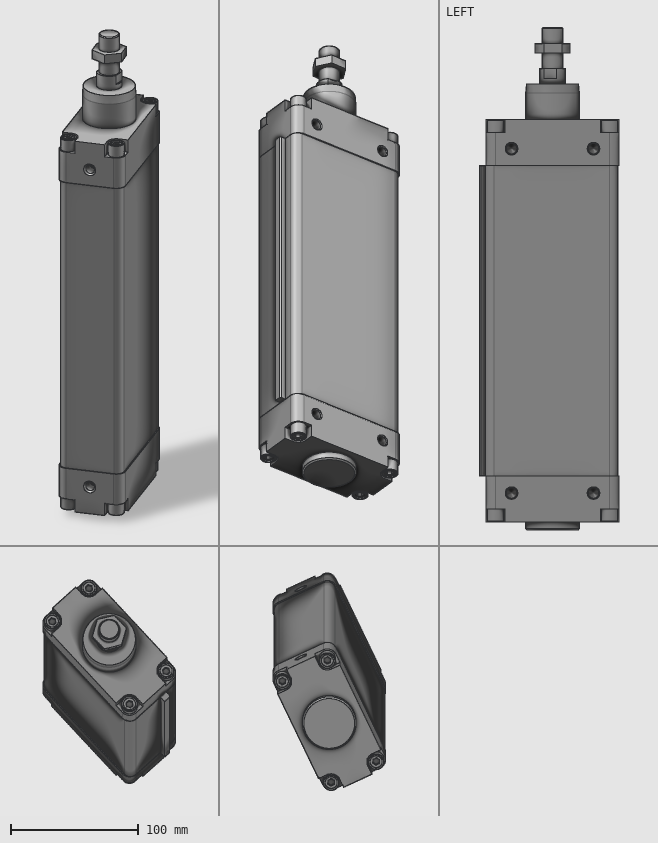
import cadquery as cq
import math

TOTAL_HEIGHT = 393.0

CAP_WIDTH = 54.0
CAP_DEPTH = 104.0
CAP_HEIGHT = 36.0
CORNER_RADIUS = 7.5
LOWER_CAP_BOTTOM = 6.3
UPPER_CAP_TOP = 321.0
TUBE_INSET = 1.0
TUBE_OVERHANG = 0.2

COLLAR_DIAMETER = 42.0
COLLAR_TOP = 349.0
COLLAR_RIM_DIAMETER = 41.0
COLLAR_RIM_HEIGHT = 7.0
LOWER_COLLAR_CHAMFER = 1.0

OVERALL_DEPTH = 109.3
RAIL_CENTER_X = -9.5
RAIL_WIDTH = 6.3
RAIL_CHAMFER = 1.0

RECESS_DIAMETER = 14.5
RECESS_DEPTH = 10.2
HEAD_DIAMETER = 12.5
HEAD_SETBACK = 0.5
HEAD_CHAMFER = 0.5
DISH_DIAMETER = 9.5
DISH_DEPTH = 1.0
SOCKET_ACROSS_FLATS = 5.0
SOCKET_DEPTH = 5.0

PORT_DIAMETER = 7.0
PORT_MOUTH_DIAMETER = 10.0
PORT_DEPTH = 11.8

HOLE_DIAMETER = 8.3
HOLE_MOUTH_DIAMETER = 10.0
HOLE_DEPTH = 11.8
DRILL_TIP_HEIGHT = 2.5
HOLE_SETBACK = 22.8
SIDE_HOLE_SPACING = 64.0

ROD_DIAMETER = 20.0
ROD_SHOULDER_Z = 360.8
STUD_DIAMETER = 16.0
STUD_CHAMFER = 0.8
WRENCH_ACROSS_FLATS = 17.3
WRENCH_BOTTOM_Z = 353.5
WRENCH_ANGLE = -12.0

NUT_ACROSS_FLATS = 24.0
NUT_HEIGHT = 7.5
NUT_BOTTOM_Z = 373.0
NUT_ANGLE = 31.5

CAP_BOTTOMS = (LOWER_CAP_BOTTOM, UPPER_CAP_TOP - CAP_HEIGHT)
TUBE_BOTTOM = LOWER_CAP_BOTTOM + CAP_HEIGHT
TUBE_HEIGHT = UPPER_CAP_TOP - LOWER_CAP_BOTTOM - 2 * CAP_HEIGHT
SCREW_X = CAP_WIDTH / 2 - CORNER_RADIUS
SCREW_Y = CAP_DEPTH / 2 - CORNER_RADIUS
SCREW_PLACES = [(sx * SCREW_X, sy * SCREW_Y) for sx in (-1, 1) for sy in (-1, 1)]
HOLE_LEVELS = (LOWER_CAP_BOTTOM + HOLE_SETBACK, UPPER_CAP_TOP - HOLE_SETBACK)


def rounded_block(width, depth, height, radius, bottom):
    block = cq.Workplane("XY").workplane(offset=bottom).rect(width, depth).extrude(height)
    return block.edges("|Z").fillet(radius)


def disc(diameter, bottom, top):
    return cq.Workplane("XY").workplane(offset=bottom).circle(diameter / 2).extrude(top - bottom)


def hexagon(across_flats, bottom, height):
    across_corners = across_flats / math.cos(math.pi / 6)
    return cq.Workplane("XY").workplane(offset=bottom).polygon(6, across_corners).extrude(height)


def tube():
    """Block between the caps, set back from them except on the +Y side, where it stands proud."""
    width = CAP_WIDTH - 2 * TUBE_INSET
    depth = CAP_DEPTH - TUBE_INSET + TUBE_OVERHANG
    block = rounded_block(width, depth, TUBE_HEIGHT, CORNER_RADIUS - TUBE_INSET, TUBE_BOTTOM)
    return block.translate((0, (TUBE_INSET + TUBE_OVERHANG) / 2, 0))


def rail():
    """Straight strip rooted inside the tube, with a chamfered outer -X edge."""
    outer_y = OVERALL_DEPTH - CAP_DEPTH / 2
    strip = cq.Workplane("XY").box(RAIL_WIDTH, outer_y, TUBE_HEIGHT, centered=(True, False, False))
    strip = strip.edges("|Z and >Y and <X").chamfer(RAIL_CHAMFER)
    return strip.translate((RAIL_CENTER_X, 0, TUBE_BOTTOM))


def corner_recess():
    """Pocket round the +X +Y screw, open to both outer sides, standing on Z = 0."""
    radius = RECESS_DIAMETER / 2
    reach = 2 * CORNER_RADIUS
    pocket = cq.Workplane("XY").circle(radius).extrude(RECESS_DEPTH)
    toward_x = cq.Workplane("XY").rect(reach, 2 * radius).extrude(RECESS_DEPTH).translate((reach / 2, 0, 0))
    toward_y = cq.Workplane("XY").rect(2 * radius, reach).extrude(RECESS_DEPTH).translate((0, reach / 2, 0))
    return pocket.union(toward_x).union(toward_y)


def screw_head():
    """Socket-head screw standing on Z = 0."""
    height = RECESS_DEPTH - HEAD_SETBACK
    head = disc(HEAD_DIAMETER, 0, height).faces(">Z").edges().chamfer(HEAD_CHAMFER)
    head = head.cut(disc(DISH_DIAMETER, height - DISH_DEPTH, height))
    return head.cut(hexagon(SOCKET_ACROSS_FLATS, height - SOCKET_DEPTH, SOCKET_DEPTH))


def blind_hole(bore_diameter, mouth_diameter, depth, tip_height):
    """Cutter along +X from its mouth at the origin, with a 45 degree chamfer and a conical or flat end."""
    bore = bore_diameter / 2
    mouth = mouth_diameter / 2
    profile = [(0, 0), (0, mouth), (mouth - bore, bore), (depth, bore), (depth + tip_height, 0)]
    return cq.Workplane("XY").polyline(profile).close().revolve(360, (0, 0, 0), (1, 0, 0))


def place_at_corner(shape, x, y, upper):
    """Move a +X +Y corner shape to a corner of the upper or lower cap."""
    if x < 0:
        shape = shape.mirror("YZ")
    if y < 0:
        shape = shape.mirror("XZ")
    if upper:
        return shape.translate((x, y, UPPER_CAP_TOP - RECESS_DEPTH))
    return shape.mirror("XY").translate((x, y, LOWER_CAP_BOTTOM + RECESS_DEPTH))


def build_housing():
    body = tube().union(rail())
    for bottom in CAP_BOTTOMS:
        body = body.union(rounded_block(CAP_WIDTH, CAP_DEPTH, CAP_HEIGHT, CORNER_RADIUS, bottom))

    rim_bottom = COLLAR_TOP - COLLAR_RIM_HEIGHT
    body = body.union(disc(COLLAR_DIAMETER, UPPER_CAP_TOP, rim_bottom))
    rim = cq.Workplane("XY").workplane(offset=rim_bottom).circle(COLLAR_DIAMETER / 2)
    rim = rim.workplane(offset=COLLAR_RIM_HEIGHT).circle(COLLAR_RIM_DIAMETER / 2).loft()
    body = body.union(rim)
    lower_collar = disc(COLLAR_DIAMETER, 0, LOWER_CAP_BOTTOM)
    body = body.union(lower_collar.faces("<Z").edges().chamfer(LOWER_COLLAR_CHAMFER))

    for x, y in SCREW_PLACES:
        for upper in (False, True):
            body = body.cut(place_at_corner(corner_recess(), x, y, upper))
            body = body.union(place_at_corner(screw_head(), x, y, upper))

    port = blind_hole(PORT_DIAMETER, PORT_MOUTH_DIAMETER, PORT_DEPTH, 0).rotate((0, 0, 0), (0, 0, 1), 90)
    side_hole = blind_hole(HOLE_DIAMETER, HOLE_MOUTH_DIAMETER, HOLE_DEPTH, DRILL_TIP_HEIGHT)
    for z in HOLE_LEVELS:
        body = body.cut(port.translate((0, -CAP_DEPTH / 2, z)))
        for side in (-1, 1):
            body = body.cut(side_hole.translate((-CAP_WIDTH / 2, side * SIDE_HOLE_SPACING / 2, z)))
    return body


def build_rod():
    rod = disc(ROD_DIAMETER, COLLAR_TOP, ROD_SHOULDER_Z)
    stud = disc(STUD_DIAMETER, ROD_SHOULDER_Z, TOTAL_HEIGHT).faces(">Z").edges().chamfer(STUD_CHAMFER)
    wrench_height = ROD_SHOULDER_Z - WRENCH_BOTTOM_Z
    band = cq.Workplane("XY").rect(2 * ROD_DIAMETER, 2 * ROD_DIAMETER).extrude(wrench_height)
    band = band.cut(cq.Workplane("XY").rect(WRENCH_ACROSS_FLATS, 2 * ROD_DIAMETER).extrude(wrench_height))
    band = band.rotate((0, 0, 0), (0, 0, 1), WRENCH_ANGLE).translate((0, 0, WRENCH_BOTTOM_Z))
    return rod.cut(band).union(stud)


def build_nut():
    blank = hexagon(NUT_ACROSS_FLATS, NUT_BOTTOM_Z, NUT_HEIGHT)
    bore = disc(STUD_DIAMETER, NUT_BOTTOM_Z, NUT_BOTTOM_Z + NUT_HEIGHT)
    return blank.cut(bore).rotate((0, 0, 0), (0, 0, 1), NUT_ANGLE)


housing = build_housing()
rod = build_rod()
nut = build_nut()
result = cq.Compound.makeCompound([housing.val(), rod.val(), nut.val()])